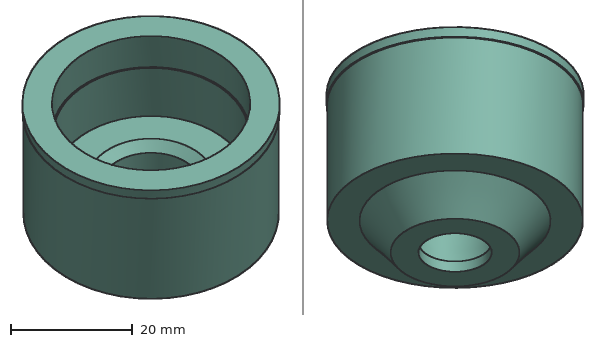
import cadquery as cq

total_height = 30.5
nose_height = 6.15
rim_height = 2.0
bore_depth = 17.65
upper_bore_depth = 6.9
countersink_depth = 1.23
seat_thickness = 2.0

rim_radius = 21.15
body_radius = 21.02
nose_top_radius = 15.7
nose_bottom_radius = 10.58
nose_hollow = 0.13

upper_bore_radius = 16.3
lower_bore_radius = 16.05
countersink_radius = 10.58
throat_radius = 8.45
seat_radius = 7.65
throat_hollow = 0.05
hole_radius = 6.0

rim_bottom = total_height - rim_height
rim_chamfer = rim_radius - body_radius
bore_floor = total_height - bore_depth
bore_step = total_height - upper_bore_depth
throat_top = bore_floor - countersink_depth


def midpoint(start, end, radial_shift):
    """Point halfway between two profile points, moved radially."""
    return ((start[0] + end[0]) / 2 + radial_shift, (start[1] + end[1]) / 2)


def revolve_profile(profile):
    """Close a half profile and turn it around the Z axis."""
    return profile.close().revolve(360, (0, 0, 0), (0, 1, 0))


def make_outside():
    """Solid body with a raised rim and a slightly hollow tapered nose."""
    nose_bottom = (nose_bottom_radius, 0)
    nose_top = (nose_top_radius, nose_height)
    profile = (
        cq.Workplane("XZ")
        .lineTo(*nose_bottom)
        .threePointArc(midpoint(nose_bottom, nose_top, -nose_hollow), nose_top)
        .lineTo(body_radius, nose_height)
        .lineTo(body_radius, rim_bottom)
        .lineTo(rim_radius, rim_bottom + rim_chamfer)
        .lineTo(rim_radius, total_height)
        .lineTo(0, total_height)
    )
    return revolve_profile(profile)


def make_cavity():
    """Stepped bore, countersink, curved throat and through hole."""
    seat_edge = (seat_radius, seat_thickness)
    throat_edge = (throat_radius, throat_top)
    profile = (
        cq.Workplane("XZ")
        .lineTo(hole_radius, 0)
        .lineTo(hole_radius, seat_thickness)
        .lineTo(*seat_edge)
        .threePointArc(midpoint(seat_edge, throat_edge, throat_hollow), throat_edge)
        .lineTo(countersink_radius, bore_floor)
        .lineTo(lower_bore_radius, bore_floor)
        .lineTo(lower_bore_radius, bore_step)
        .lineTo(upper_bore_radius, bore_step)
        .lineTo(upper_bore_radius, total_height)
        .lineTo(0, total_height)
    )
    return revolve_profile(profile)


result = make_outside().cut(make_cavity())